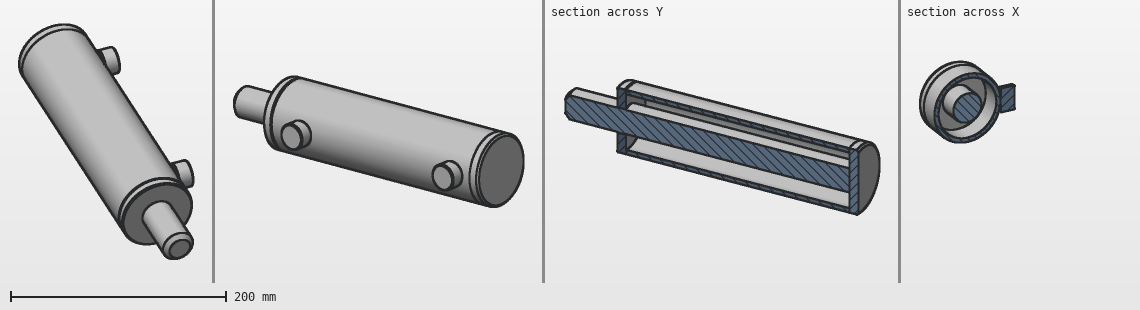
import cadquery as cq

TOTAL_LENGTH = 310.0
BODY_END = 255.0
BODY_DIAMETER = 70.0
BODY_RADIUS = BODY_DIAMETER / 2

CAP_LENGTH = 10.0
CAP_CHAMFER = 2.0

WALL = 5.0
BORE_RADIUS = BODY_RADIUS - WALL

GLAND_LENGTH = 9.3
GLAND_CHAMFER = 1.0
GLAND_START = BODY_END - GLAND_LENGTH

ROD_DIAMETER = 30.0
ROD_RADIUS = ROD_DIAMETER / 2
ROD_CHAMFER = 4.5

PORT_POSITIONS = (30.0, 210.0)
PORT_DIAMETER = 25.0
PORT_RADIUS = PORT_DIAMETER / 2
PORT_HEIGHT = 15.0
PORT_CHAMFER = 1.0


def axial_cylinder(start, end, radius):
    """Solid cylinder along X from start to end."""
    return cq.Workplane("YZ", origin=(start, 0, 0)).circle(radius).extrude(end - start)


def make_cap():
    """Solid disc with its outer rim chamfered."""
    return axial_cylinder(0, CAP_LENGTH, BODY_RADIUS).faces("<X").chamfer(CAP_CHAMFER)


def make_port(x):
    """Chamfered round boss resting on the outermost line of the tube."""
    plane = cq.Plane(origin=(x, BODY_RADIUS, 0), xDir=(1, 0, 0), normal=(0, 1, 0))
    boss = cq.Workplane(plane).circle(PORT_RADIUS).extrude(PORT_HEIGHT)
    return boss.faces("<Y or >Y").chamfer(PORT_CHAMFER)


def make_tube():
    """Plain tube between the cap and the gland."""
    tube = axial_cylinder(CAP_LENGTH, GLAND_START, BODY_RADIUS)
    return tube.cut(axial_cylinder(CAP_LENGTH, GLAND_START, BORE_RADIUS))


def make_gland():
    """Ring with both outer rims chamfered and a bore that fits the rod."""
    gland = axial_cylinder(GLAND_START, BODY_END, BODY_RADIUS)
    gland = gland.faces("<X or >X").chamfer(GLAND_CHAMFER)
    return gland.cut(axial_cylinder(GLAND_START, BODY_END, ROD_RADIUS))


def make_rod():
    """Rod that runs from the cap, out through the gland."""
    return axial_cylinder(CAP_LENGTH, TOTAL_LENGTH, ROD_RADIUS).faces(">X").chamfer(ROD_CHAMFER)


cap = make_cap()
ports = [make_port(x) for x in PORT_POSITIONS]
tube = make_tube()
gland = make_gland()
rod = make_rod()

result = cq.Compound.makeCompound(
    [cap.val(), tube.val(), gland.val(), rod.val(), *[port.val() for port in ports]]
)